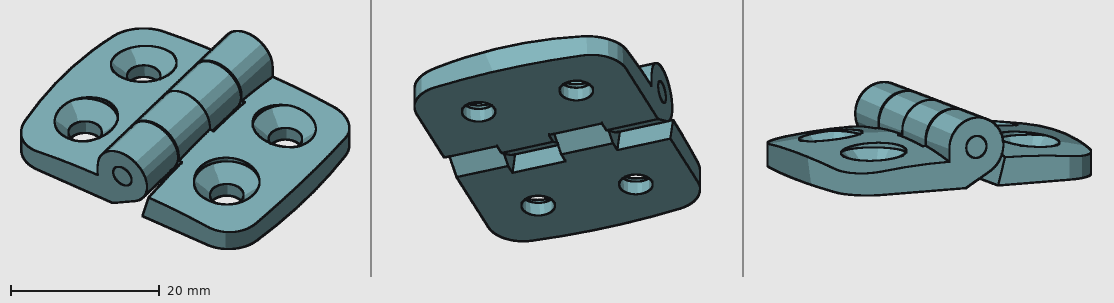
import cadquery as cq
import math

length_x = 38.85
width_y = 30.0
height_z = 9.5
half_x = length_x / 2
half_y = width_y / 2

side_inset = 0.65
side_inset_y = 10.7
corner_radius = 5.0
dome_height = 5.1
dome_radius = 87.4

barrel_radius = 4.0
barrel_z = height_z - barrel_radius
pin_diameter = 3.0
web_angle = math.radians(30)
knuckle_pitch = width_y / 4
knuckle_gap = 0.2

relief_foot_x = 3.22
relief_angle = math.radians(15)

hole_x = 11.5
hole_y = 7.0
hole_diameter = 4.5
sink_diameter = 8.8
sink_top_z = 4.25
sink_depth = (sink_diameter - hole_diameter) / 2


def make_plate():
    """Bowed, round-cornered plate on the -X side with a spherical top."""
    bow_radius = (side_inset_y**2 + side_inset**2) / (2 * side_inset)
    corner_x = half_x - bow_radius + math.sqrt(bow_radius**2 - half_y**2)
    inner_x = -relief_foot_x
    plate = (
        cq.Workplane("XY")
        .moveTo(inner_x, -half_y)
        .lineTo(-corner_x, -half_y)
        .threePointArc((-half_x, 0), (-corner_x, half_y))
        .lineTo(inner_x, half_y)
        .close()
        .extrude(height_z)
        .edges("|Z")
        .edges("<X")
        .fillet(corner_radius)
    )
    dome = (
        cq.Workplane("XY")
        .sphere(dome_radius)
        .rotate((0, 0, 0), (0, 1, 0), 90)
        .translate((-barrel_radius, 0, dome_height - dome_radius))
    )
    return plate.intersect(dome)


def make_relief(y_start, y_end):
    """Cutter that slopes the inner end of the plate away from the other leaf's knuckle."""
    relief_top_x = -relief_foot_x - height_z * math.tan(relief_angle)
    return (
        cq.Workplane("XZ", origin=(0, y_end, 0))
        .polyline([(-relief_foot_x, 0), (relief_top_x, height_z), (-relief_foot_x, height_z)])
        .close()
        .extrude(y_end - y_start)
    )


def make_knuckle(y_start, y_end):
    """Barrel segment with the web that runs down into the leaf."""
    tangent_x = barrel_radius * math.sin(web_angle)
    tangent_z = barrel_z - barrel_radius * math.cos(web_angle)
    web_foot_x = tangent_x - tangent_z / math.tan(web_angle)
    return (
        cq.Workplane("XZ", origin=(0, y_end, 0))
        .moveTo(-barrel_radius, 0)
        .lineTo(web_foot_x, 0)
        .lineTo(tangent_x, tangent_z)
        .threePointArc((barrel_radius, barrel_z), (0, height_z))
        .threePointArc(
            (-barrel_radius * math.sqrt(0.5), barrel_z + barrel_radius * math.sqrt(0.5)),
            (-barrel_radius, barrel_z),
        )
        .close()
        .extrude(y_end - y_start)
    )


def make_screw_hole(y):
    """Cutter for one countersunk hole, with a straight wall above the cone."""
    hole_radius = hole_diameter / 2
    sink_radius = sink_diameter / 2
    return (
        cq.Workplane("XZ")
        .polyline([
            (0, 0),
            (hole_radius, 0),
            (hole_radius, sink_top_z - sink_depth),
            (sink_radius, sink_top_z),
            (sink_radius, height_z),
            (0, height_z),
        ])
        .close()
        .revolve(360, (0, 0, 0), (0, 1, 0))
        .translate((-hole_x, y, 0))
    )


def make_pin(length):
    return (
        cq.Workplane("XZ", origin=(0, length / 2, 0))
        .center(0, barrel_z)
        .circle(pin_diameter / 2)
        .extrude(length)
    )


def make_leaf():
    """Leaf on the -X side, with an end knuckle and a middle knuckle."""
    leaf = make_plate()
    end_knuckle_y = -knuckle_pitch - knuckle_gap / 2
    middle_knuckle_y = knuckle_pitch - knuckle_gap / 2
    for y_start, y_end in [(end_knuckle_y, 0), (middle_knuckle_y, half_y)]:
        leaf = leaf.cut(make_relief(y_start, y_end))
    for y_start, y_end in [(-half_y, end_knuckle_y), (0, middle_knuckle_y)]:
        leaf = leaf.union(make_knuckle(y_start, y_end))
    for y in (-hole_y, hole_y):
        leaf = leaf.cut(make_screw_hole(y))
    return leaf.cut(make_pin(width_y)).solids()


left_leaf = make_leaf()
right_leaf = left_leaf.rotate((0, 0, 0), (0, 0, 1), 180)
pin = make_pin(width_y)

result = cq.Compound.makeCompound([left_leaf.val(), right_leaf.val(), pin.val()])